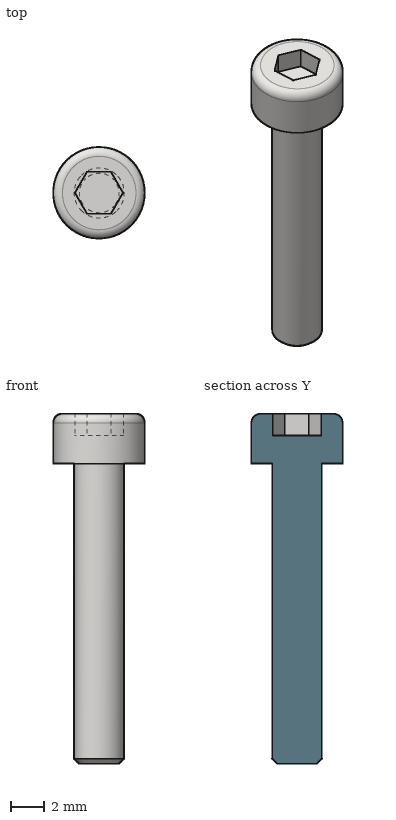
import cadquery as cq
import math

total_length = 21.0
head_diameter = 5.5
head_height = 3.0
head_edge_radius = 0.55
shank_diameter = 3.0
tip_chamfer_height = 0.32
tip_chamfer_width = 0.32
socket_across_flats = 2.5
socket_depth = 1.3

shank_length = total_length - head_height
socket_across_corners = socket_across_flats / math.cos(math.pi / 6)

head = (
    cq.Workplane("XY")
    .circle(head_diameter / 2)
    .extrude(head_height)
    .faces(">Z")
    .edges()
    .fillet(head_edge_radius)
)

shank = (
    cq.Workplane("XY")
    .circle(shank_diameter / 2)
    .extrude(-shank_length)
    .faces("<Z")
    .chamfer(tip_chamfer_height, tip_chamfer_width)
)

socket = (
    cq.Workplane("XY")
    .workplane(offset=head_height)
    .polygon(6, socket_across_corners)
    .extrude(-socket_depth)
)

result = head.union(shank).cut(socket)